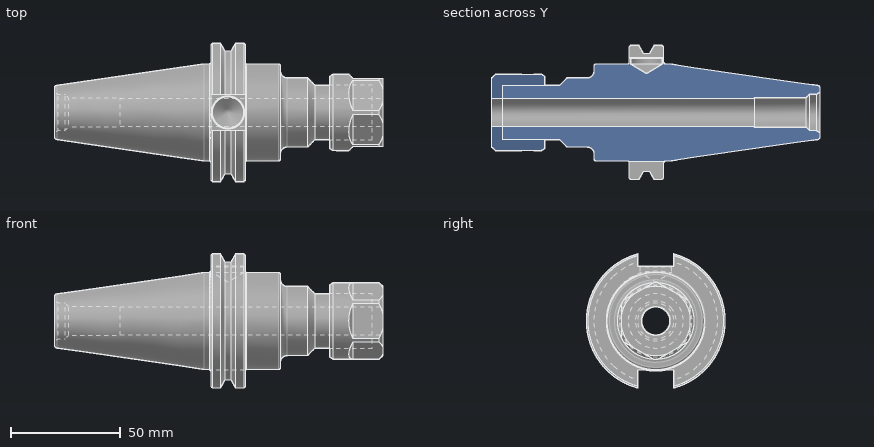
import cadquery as cq
import math

overall_length = 150.05

gauge_diameter = 44.45
taper_length = 68.25
taper_ratio = 7 / 24
taper_end_diameter = gauge_diameter - taper_ratio * taper_length
taper_end_fillet = 1.3

flange_diameter = 63.5
flange_start = 3.175
flange_width = 15.875
flange_end = flange_start + flange_width
flange_front_chamfer = 0.8
flange_back_chamfer = 0.8
back_root_fillet = 0.7
front_root_fillet = 0.4
groove_diameter = 56.35
groove_center = 11.0
groove_floor_width = 2.8
groove_half_angle = 30

slot_width = 16.27
upper_slot_floor = 25.0
lower_slot_floor = 22.4
dimple_diameter = 14.3
dimple_rim_chamfer = 0.4
dimple_wall_depth = 2.9
dimple_center = groove_center
drill_point_angle = 118

shoulder_end = 35.0
shoulder_fillet = 1.0
nose_diameter = 31.75
nose_fillet = 3.0
nose_end = 47.3
neck_diameter = 25.0
neck_start = nose_end + (nose_diameter - neck_diameter) / 2

through_bore_diameter = 12.75
thread_diameter = 13.39
thread_end = 30.0
pilot_diameter = 16.46
pilot_depth = 4.85
pilot_mouth_length = 1.75
pilot_mouth_drop = 1.0

nut_diameter = 35.0
nut_start = 57.4
nut_end = overall_length - taper_length
nut_back_chamfer_length = 1.5
nut_back_chamfer_drop = 1.0
nut_face_diameter = 31.75
nut_face_chamfer_length = 1.9
nut_lip_thickness = 5.0
neck_end = nut_end - nut_lip_thickness
flat_count = 6
across_flats = 31.2
flat_start = 68.0


def revolve_about_x(profile):
    return profile.close().revolve(360, (0, 0, 0), (1, 0, 0))


def make_holder_blank():
    gauge_radius = gauge_diameter / 2
    flange_radius = flange_diameter / 2
    groove_radius = groove_diameter / 2
    nose_radius = nose_diameter / 2
    groove_floor_half = groove_floor_width / 2
    groove_side = (flange_radius - groove_radius) * math.tan(math.radians(groove_half_angle))
    groove_top_half = groove_floor_half + groove_side
    profile = (
        cq.Workplane("XY")
        .moveTo(-taper_length, 0)
        .lineTo(-taper_length, taper_end_diameter / 2)
        .lineTo(0, gauge_radius)
        .lineTo(flange_start - back_root_fillet, gauge_radius)
        .radiusArc((flange_start, gauge_radius + back_root_fillet), -back_root_fillet)
        .lineTo(flange_start, flange_radius - flange_back_chamfer)
        .lineTo(flange_start + flange_back_chamfer, flange_radius)
        .lineTo(groove_center - groove_top_half, flange_radius)
        .lineTo(groove_center - groove_floor_half, groove_radius)
        .lineTo(groove_center + groove_floor_half, groove_radius)
        .lineTo(groove_center + groove_top_half, flange_radius)
        .lineTo(flange_end - flange_front_chamfer, flange_radius)
        .lineTo(flange_end, flange_radius - flange_front_chamfer)
        .lineTo(flange_end, gauge_radius + front_root_fillet)
        .radiusArc((flange_end + front_root_fillet, gauge_radius), -front_root_fillet)
        .lineTo(shoulder_end - shoulder_fillet, gauge_radius)
        .radiusArc((shoulder_end, gauge_radius - shoulder_fillet), shoulder_fillet)
        .lineTo(shoulder_end, nose_radius + nose_fillet)
        .radiusArc((shoulder_end + nose_fillet, nose_radius), -nose_fillet)
        .lineTo(nose_end, nose_radius)
        .lineTo(neck_start, neck_diameter / 2)
        .lineTo(neck_end, neck_diameter / 2)
        .lineTo(neck_end, 0)
    )
    blank = revolve_about_x(profile)
    return blank.faces("<X").edges().fillet(taper_end_fillet)


def make_holder_bore():
    pilot_radius = pilot_diameter / 2
    thread_radius = thread_diameter / 2
    pilot_end = pilot_depth - taper_length
    profile = (
        cq.Workplane("XY")
        .moveTo(-taper_length, 0)
        .lineTo(-taper_length, pilot_radius + pilot_mouth_drop)
        .lineTo(pilot_mouth_length - taper_length, pilot_radius)
        .lineTo(pilot_end, pilot_radius)
        .lineTo(pilot_end + pilot_radius - thread_radius, thread_radius)
        .lineTo(thread_end - taper_length, thread_radius)
        .lineTo(thread_end - taper_length, through_bore_diameter / 2)
        .lineTo(neck_end, through_bore_diameter / 2)
        .lineTo(neck_end, 0)
    )
    return revolve_about_x(profile)


def make_drive_slot(floor, direction):
    """Slot across the flange rim, open towards +Z (direction 1) or -Z (direction -1)."""
    depth = flange_diameter / 2 - floor
    middle = direction * (floor + depth / 2)
    return (
        cq.Workplane("XY")
        .box(flange_width, slot_width, depth)
        .translate((flange_start + flange_width / 2, 0, middle))
    )


def make_dimple():
    radius = dimple_diameter / 2
    wall_bottom = upper_slot_floor - dimple_wall_depth
    point_length = radius / math.tan(math.radians(drill_point_angle / 2))
    profile = (
        cq.Workplane("XZ")
        .moveTo(0, upper_slot_floor)
        .lineTo(radius + dimple_rim_chamfer, upper_slot_floor)
        .lineTo(radius, upper_slot_floor - dimple_rim_chamfer)
        .lineTo(radius, wall_bottom)
        .lineTo(0, wall_bottom - point_length)
        .close()
    )
    return profile.revolve(360, (0, 0, 0), (0, 1, 0)).translate((dimple_center, 0, 0))


def make_holder():
    return (
        make_holder_blank()
        .cut(make_holder_bore())
        .cut(make_drive_slot(upper_slot_floor, 1))
        .cut(make_drive_slot(lower_slot_floor, -1))
        .cut(make_dimple())
    )


def make_nut_blank():
    radius = nut_diameter / 2
    profile = (
        cq.Workplane("XY")
        .moveTo(nut_start, neck_diameter / 2)
        .lineTo(nut_start, radius - nut_back_chamfer_drop)
        .lineTo(nut_start + nut_back_chamfer_length, radius)
        .lineTo(nut_end - nut_face_chamfer_length, radius)
        .lineTo(nut_end, nut_face_diameter / 2)
        .lineTo(nut_end, through_bore_diameter / 2)
        .lineTo(neck_end, through_bore_diameter / 2)
        .lineTo(neck_end, neck_diameter / 2)
    )
    return revolve_about_x(profile)


def make_flat_cutter():
    """Removes one wrench flat on the +Y side, running out at 45 degrees at the back."""
    flat_distance = across_flats / 2
    outer_distance = nut_diameter / 2
    run_out = outer_distance - flat_distance
    return (
        cq.Workplane("XY")
        .moveTo(flat_start, flat_distance)
        .lineTo(nut_end, flat_distance)
        .lineTo(nut_end, outer_distance)
        .lineTo(flat_start - run_out, outer_distance)
        .close()
        .extrude(nut_diameter / 2, both=True)
    )


def make_nut():
    nut_body = make_nut_blank()
    for index in range(flat_count):
        angle = index * 360 / flat_count
        nut_body = nut_body.cut(make_flat_cutter().rotate((0, 0, 0), (1, 0, 0), angle))
    return nut_body


holder = make_holder()
nut = make_nut()

result = cq.Compound.makeCompound([holder.val(), nut.val()])